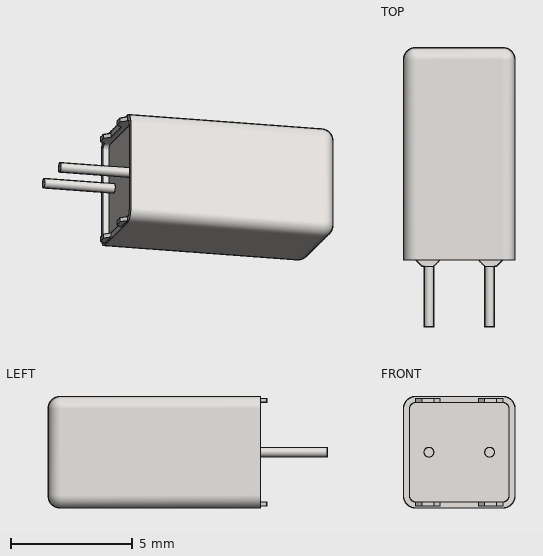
import cadquery as cq

total_length = 11.5
body_width = 4.6
lead_reach = 2.75
edge_radius = 0.51
wall = 0.25
recess_depth = 0.25
lead_diameter = 0.4
lead_pitch = 2.5
tab_width = 1.0
tab_height = 0.25
tab_thickness = 0.17
tab_bevel = 0.25

body_length = total_length - lead_reach
recess_width = body_width - 2 * wall
recess_radius = edge_radius - wall
tab_outer_x = body_width / 2 - edge_radius
tab_inner_x = tab_outer_x - tab_width


def make_shell():
    """Square block, rounded everywhere but at the rim, with a shallow recess in the rim face."""
    block = (
        cq.Workplane("XY")
        .box(body_width, body_length, body_width, centered=(True, False, True))
        .edges("|Y or >Y")
        .fillet(edge_radius)
    )
    recess = (
        cq.Workplane("XY")
        .box(recess_width, recess_depth, recess_width, centered=(True, False, True))
        .edges("|Y")
        .fillet(recess_radius)
    )
    return block.cut(recess)


def make_tab(x_side, z_side):
    """Tapered standoff tab on the rim, flush with the recess wall."""
    outline = [
        (x_side * tab_inner_x, 0),
        (x_side * tab_outer_x, 0),
        (x_side * (tab_outer_x - tab_bevel), -tab_height),
        (x_side * (tab_inner_x + tab_bevel), -tab_height),
    ]
    return (
        cq.Workplane("XY")
        .workplane(offset=z_side * recess_width / 2)
        .polyline(outline)
        .close()
        .extrude(z_side * tab_thickness)
    )


def make_body():
    """Shell with a standoff tab near each corner of its rim."""
    body = make_shell()
    for x_side in (-1, 1):
        for z_side in (-1, 1):
            body = body.union(make_tab(x_side, z_side))
    return body.solids()


def make_lead(x_side):
    """Round wire lead standing on the recess floor."""
    return (
        cq.Workplane("XZ", origin=(x_side * lead_pitch / 2, recess_depth, 0))
        .circle(lead_diameter / 2)
        .extrude(recess_depth + lead_reach)
    )


body = make_body()
leads = [make_lead(x_side) for x_side in (-1, 1)]

result = cq.Compound.makeCompound([body.val(), *[lead.val() for lead in leads]])